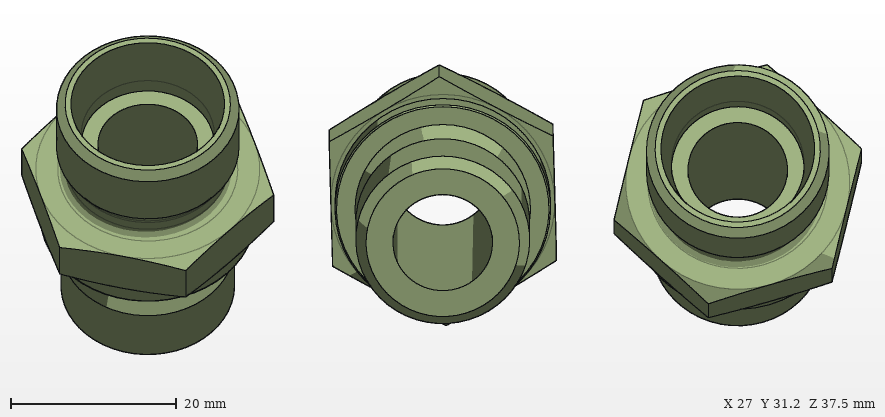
import cadquery as cq
import math

total_length = 37.5
bore_diameter = 12.0
bore_radius = bore_diameter / 2

lower_diameter = 20.95
lower_radius = lower_diameter / 2
lower_chamfer = 1.25
lower_thread_top = 9.05

neck_radius = 9.08
neck_z = 11.48
neck_fillet = 1.12
neck_top_radius = 10.58

flange_diameter = 26.0
flange_radius = flange_diameter / 2
flange_bottom = 15.08
flange_chamfer = 0.2

hex_across_flats = 27.0
hex_bottom = 18.08
hex_top = 24.5
hex_chamfer_angle = 15.0
hex_half_sector = 30.0

undercut_diameter = 19.7
undercut_radius = undercut_diameter / 2
undercut_fillet = 1.0

upper_diameter = 22.0
upper_radius = upper_diameter / 2
upper_thread_bottom = 29.15
upper_chamfer_width = 1.05
upper_chamfer_height = 0.95
runout_angle = 30.0

socket_diameter = 16.0
socket_radius = socket_diameter / 2
socket_depth = 8.0
cone_mouth_radius = 9.25
cone_angle = 12.0


def revolve_profile(points):
    """Revolve a closed outline of (radius, height) points about Z."""
    return cq.Workplane("XZ").polyline(points).close().revolve(360, (0, 0), (0, 1))


def fillet_circle(body, radius, z, fillet_radius):
    """Round the circular edge of the given radius at height z."""
    margin = 0.05
    selector = cq.selectors.BoxSelector(
        (-radius - margin, -radius - margin, z - margin),
        (radius + margin, radius + margin, z + margin),
        boundingbox=True,
    )
    return body.edges(selector).fillet(fillet_radius)


def make_lower_end():
    body = revolve_profile([
        (0, 0),
        (lower_radius - lower_chamfer, 0),
        (lower_radius, lower_chamfer),
        (lower_radius, lower_thread_top),
        (neck_radius, neck_z),
        (neck_top_radius, flange_bottom),
        (flange_radius - flange_chamfer, flange_bottom),
        (flange_radius, flange_bottom + flange_chamfer),
        (flange_radius, hex_bottom),
        (0, hex_bottom),
    ])
    return fillet_circle(body, neck_radius, neck_z, neck_fillet)


def make_hexagon():
    flat_radius = hex_across_flats / 2
    corner_radius = flat_radius / math.cos(math.radians(hex_half_sector))
    corner_drop = (corner_radius - flat_radius) * math.tan(math.radians(hex_chamfer_angle))
    prism = (
        cq.Workplane("XY", origin=(0, 0, hex_bottom))
        .polygon(6, 2 * corner_radius)
        .extrude(hex_top - hex_bottom)
        .rotate((0, 0, 0), (0, 0, 1), hex_half_sector)
    )
    chamfer_envelope = revolve_profile([
        (0, hex_bottom),
        (flat_radius, hex_bottom),
        (corner_radius, hex_bottom + corner_drop),
        (corner_radius, hex_top - corner_drop),
        (flat_radius, hex_top),
        (0, hex_top),
    ])
    return prism.intersect(chamfer_envelope)


def make_upper_end():
    runout_height = (upper_radius - undercut_radius) / math.tan(math.radians(runout_angle))
    runout_bottom = upper_thread_bottom - runout_height
    body = revolve_profile([
        (0, hex_top),
        (undercut_radius, hex_top),
        (undercut_radius, runout_bottom),
        (upper_radius, upper_thread_bottom),
        (upper_radius, total_length - upper_chamfer_height),
        (upper_radius - upper_chamfer_width, total_length),
        (0, total_length),
    ])
    return fillet_circle(body, undercut_radius, runout_bottom, undercut_fillet)


def make_passage():
    cone_depth = (cone_mouth_radius - socket_radius) / math.tan(math.radians(cone_angle))
    return revolve_profile([
        (0, 0),
        (bore_radius, 0),
        (bore_radius, total_length - socket_depth),
        (socket_radius, total_length - socket_depth),
        (socket_radius, total_length - cone_depth),
        (cone_mouth_radius, total_length),
        (0, total_length),
    ])


body = make_lower_end().union(make_hexagon()).union(make_upper_end())
body = fillet_circle(body, undercut_radius, hex_top, undercut_fillet)
result = body.cut(make_passage())